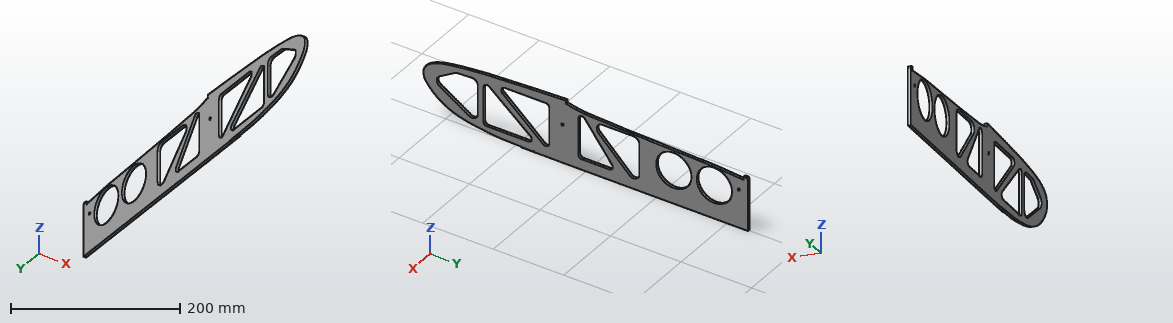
import cadquery as cq

thickness = 4.0
length = 460.27
height = 90.0

hook_width = 6.0
hook_height = 75.0
hook_corner_width = 2.2
hook_corner_drop = 3.4
hook_corner_radius = 4.0
hook_foot_height = 70.5
step_position = 258.0
step_foot_height = 86.0

rear_top_points = [(60.4, 74.5), (136.7, 76.4), (207.5, 79.6), (242.2, 82.3)]
front_top_points = [
    (281.0, 89.4), (308.8, 88.1), (335.2, 86.7),
    (383.8, 84.2), (416.4, 80.5), (443.5, 74.5),
]
nose_height = 56.5
nose_bottom_points = [
    (454.3, 41.3), (439.3, 26.5), (408.8, 11.3),
    (374.1, 4.6), (344.9, 1.75), (304.7, 0.7),
]
belly_start = 250.0
front_top_direction = (1, -0.03)
nose_direction = (0, -1)
belly_direction = (-1, 0)

lightening_diameter = 50.0
lightening_height = 47.3
lightening_centres = [(s, lightening_height) for s in (47.6, 105.1)]
pin_diameter = 3.0
pin_height = 54.0
first_pin = 13.0
pin_spacing = 250.0
pin_centres = [(first_pin, pin_height), (first_pin + pin_spacing, pin_height)]

large_corner = 8.0
small_corner = 5.0
truss_openings = [
    ([(154.1, 74.7), (225.6, 74.7), (154.1, 3.7)], large_corner),
    ([(240.4, 15.0), (186.7, 15.0), (240.4, 86.3)], small_corner),
    ([(281.8, 76.1), (358.1, 76.1), (281.8, 8.9)], small_corner),
    ([(375.0, 12.2), (297.8, 12.2), (375.0, 76.6)], small_corner),
    ([(383.1, 73.6), (413.8, 72.2), (448.4, 51.7), (383.1, 10.0)], large_corner),
]

side_plane = cq.Plane(origin=(thickness / 2, 0, 0), xDir=(0, -1, 0), normal=(-1, 0, 0))


def sheet():
    """Workplane on the +X face, drawn in (s, z) and extruded towards -X."""
    return cq.Workplane(side_plane)


def rib_blank():
    """Solid rib with its hook, step and curved nose."""
    return (
        sheet()
        .moveTo(0, 0)
        .lineTo(0, hook_height - hook_corner_drop)
        .radiusArc((hook_corner_width, hook_height), hook_corner_radius)
        .lineTo(hook_width, hook_height)
        .lineTo(hook_width, hook_foot_height)
        .spline(
            rear_top_points + [(step_position, step_foot_height)],
            includeCurrent=True,
        )
        .lineTo(step_position, height)
        .spline(
            front_top_points + [(length, nose_height)],
            tangents=[front_top_direction, nose_direction],
            includeCurrent=True,
        )
        .spline(
            nose_bottom_points + [(belly_start, 0)],
            tangents=[nose_direction, belly_direction],
            includeCurrent=True,
        )
        .close()
        .extrude(thickness)
    )


def round_openings(centres, diameter):
    """Equal cylinders that cut through the rib."""
    return sheet().pushPoints(centres).circle(diameter / 2).extrude(thickness)


def truss_opening(corners, radius):
    """Straight-sided opening with every corner rounded."""
    prism = sheet().polyline(corners).close().extrude(thickness)
    return prism.edges("|X").fillet(radius)


result = rib_blank()
result = result.cut(round_openings(lightening_centres, lightening_diameter))
result = result.cut(round_openings(pin_centres, pin_diameter))
for corners, radius in truss_openings:
    result = result.cut(truss_opening(corners, radius))